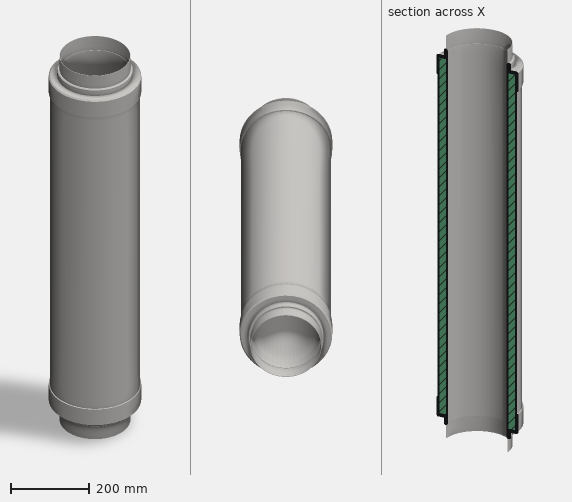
import cadquery as cq

total_length = 1120.0
half_length = total_length / 2
spigot_length = 39.0
collar_height = 19.0
skirt_height = 52.0

cap_diameter = 236.0
cap_radius = cap_diameter / 2
collar_radius = 96.0
spigot_radius = 91.0
spigot_wall = 1.0
bore_radius = 88.0

cap_wall = 3.0
tube_radius = cap_radius - cap_wall
cap_chamfer = 3.0
collar_chamfer = 2.0

collar_top = half_length - spigot_length
cap_top = collar_top - collar_height
skirt_bottom = cap_top - skirt_height

shoulder_top = cap_top - cap_wall
neck_top = collar_top - cap_wall
neck_radius = collar_radius - cap_wall


def cylinder(radius, bottom, top):
    return cq.Workplane("XY").workplane(offset=bottom).circle(radius).extrude(top - bottom)


def make_lined_tube():
    """Thick tube with a reduced neck at each end and a through bore."""
    tube = cylinder(tube_radius, -shoulder_top, shoulder_top)
    necks = cylinder(neck_radius, -neck_top, neck_top)
    bore = cylinder(bore_radius, -half_length, half_length)
    return tube.union(necks).cut(bore)


def make_upper_end_cap():
    """Stepped sheet cap: skirt over the tube, collar over the neck, and a spigot."""
    skirt = cylinder(cap_radius, skirt_bottom, cap_top).faces(">Z").edges().chamfer(cap_chamfer)
    collar = cylinder(collar_radius, skirt_bottom, collar_top).faces(">Z").edges().chamfer(collar_chamfer)
    spigot = cylinder(spigot_radius, skirt_bottom, half_length)
    tube_socket = cylinder(tube_radius, skirt_bottom, shoulder_top)
    neck_socket = cylinder(neck_radius, skirt_bottom, neck_top)
    spigot_bore = cylinder(spigot_radius - spigot_wall, skirt_bottom, half_length)
    outside = skirt.union(collar).union(spigot)
    return outside.cut(tube_socket).cut(neck_socket).cut(spigot_bore)


lined_tube = make_lined_tube()

end_caps = []
for turn_angle in (0, 180):
    end_caps.append(make_upper_end_cap().rotate((0, 0, 0), (1, 0, 0), turn_angle))

result = cq.Compound.makeCompound([lined_tube.val(), *[cap.val() for cap in end_caps]])